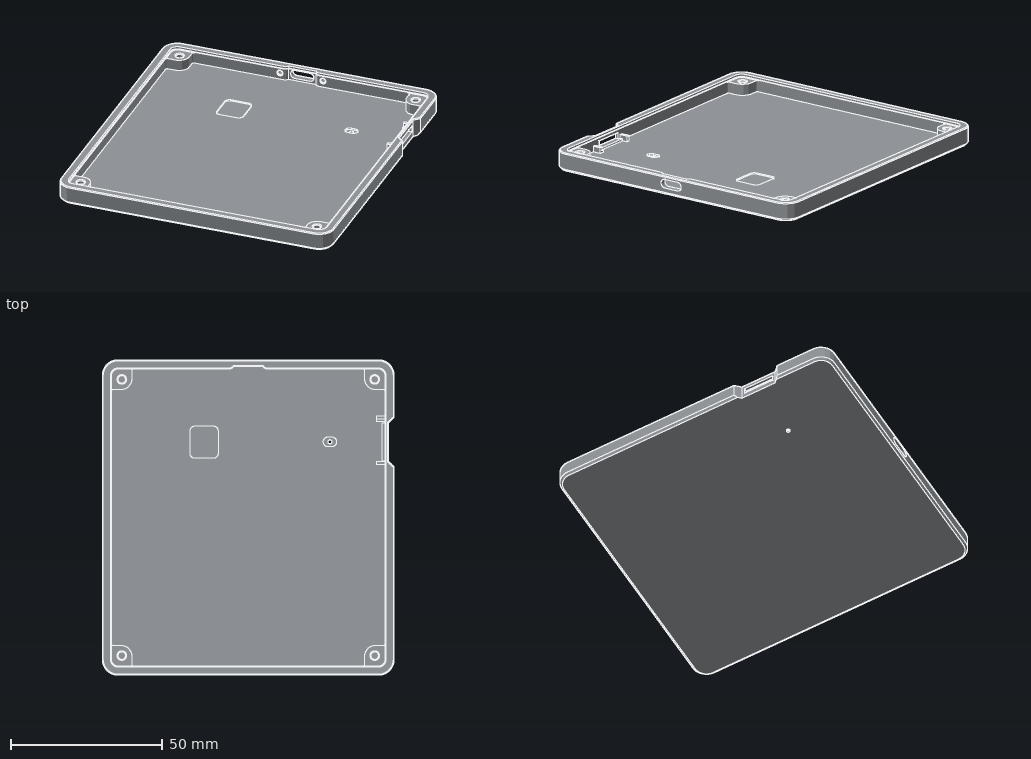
import math

import cadquery as cq

length_x = 96.6
length_y = 104.3
height = 6.5
corner_radius = 5.2
bottom_chamfer = 0.8
top_chamfer = 0.3

wall = 3.0
floor_z = 1.6
rebate_wall = 2.7
rebate_depth = 0.8
ledge_z = height - rebate_depth
cavity_x = length_x - 2 * wall
cavity_y = length_y - 2 * wall
inner_face_x = cavity_x / 2
inner_face_y = cavity_y / 2

boss_inset = 6.5
boss_reach = 3.3
boss_radius = 3.5
boss_blend = 0.6
boss_drop = 1.0
boss_top_z = height - boss_drop
boss_x = length_x / 2 - boss_inset
boss_y = length_y / 2 - boss_inset
screw_hole_diameter = 2.5
screw_mouth_diameter = 3.1
lead_in_depth = 0.3

recess_width = 9.8
recess_depth = 0.8
recess_flare_radius = 1.6
opening_width = 8.2
opening_height = 3.0
opening_z = 3.9
connector_hole_diameter = 1.7
connector_mouth_diameter = 2.1
connector_hole_spacing = 15.2
connector_hole_depth = 2.5

card_y = 24.9
notch_depth = 1.9
notch_inner_length = 12.7
card_opening_length = 10.6
shelf_length = 12.5
card_opening_height = 2.2
shelf_depth = 1.0
shelf_top_z = 2.3
post_depth = 2.8
post_width = 1.0
post_top_z = 3.5
post_center_y = 25.6
post_spacing = 15.0
shoulder_width = 0.8

pocket_x = -14.6
pocket_y = 24.9
pocket_length_x = 9.4
pocket_length_y = 10.6
pocket_radius = 1.7
pocket_depth = 0.4

port_x = 27.0
port_y = 25.0
port_length = 4.5
port_width = 3.1
port_depth = 0.5
port_hole_diameter = 1.3


def rounded_block(size_x, size_y, radius, bottom_z, top_z):
    """Upright block centred on the Z axis with rounded vertical edges."""
    block = cq.Workplane("XY", origin=(0, 0, bottom_z)).rect(size_x, size_y).extrude(top_z - bottom_z)
    return block.edges("|Z").fillet(radius)


def box_between(x0, x1, y0, y1, z0, z1):
    """Box given by its limits along each axis."""
    return cq.Workplane("XY").box(x1 - x0, y1 - y0, z1 - z0, centered=False).translate((x0, y0, z0))


def make_card_notch():
    """Finger notch with 45 degree ends, cut through the full height of the +X wall."""
    outer_x = length_x / 2
    half = notch_inner_length / 2
    return (
        cq.Workplane("XY")
        .polyline(
            [
                (outer_x - notch_depth, card_y - half),
                (outer_x - notch_depth, card_y + half),
                (outer_x, card_y + half + notch_depth),
                (outer_x, card_y - half - notch_depth),
            ]
        )
        .close()
        .extrude(height)
    )


def make_tray():
    """Solid tray blank with the finger notch and with its top and bottom outlines chamfered."""
    tray = rounded_block(length_x, length_y, corner_radius, 0, height)
    tray = tray.faces("<Z").edges().chamfer(bottom_chamfer)
    tray = tray.cut(make_card_notch())
    return tray.faces(">Z").edges().chamfer(top_chamfer)


def make_cavity():
    """Space inside the tray, leaving the four corner bosses standing."""
    cavity = rounded_block(cavity_x, cavity_y, corner_radius - wall, floor_z, height)
    for sx in (-1, 1):
        for sy in (-1, 1):
            size = 2 * boss_inset + boss_reach
            offset = size / 2 - boss_reach
            boss = (
                cq.Workplane("XY", origin=(sx * (boss_x + offset), sy * (boss_y + offset), floor_z))
                .rect(size, size)
                .extrude(boss_top_z - floor_z)
                .edges("|Z")
                .fillet(boss_radius)
            )
            cavity = cavity.cut(boss)
    for sx in (-1, 1):
        for sy in (-1, 1):
            for x, y in ((inner_face_x, boss_y - boss_reach), (boss_x - boss_reach, inner_face_y)):
                corner = (sx * x, sy * y, (floor_z + boss_top_z) / 2)
                cavity = cavity.edges(cq.NearestToPointSelector(corner)).fillet(boss_blend)
    rebate = rounded_block(
        length_x - 2 * rebate_wall, length_y - 2 * rebate_wall, corner_radius - rebate_wall, ledge_z, height
    )
    return cavity.union(rebate)


def countersunk_bore(diameter, mouth_diameter, depth):
    """Blind bore running down from the origin, with a conical lead-in at its mouth."""
    radius = diameter / 2
    mouth_radius = mouth_diameter / 2
    return (
        cq.Workplane("XZ")
        .polyline(
            [
                (0, 0),
                (mouth_radius, 0),
                (radius, -lead_in_depth),
                (radius, -depth),
                (0, -depth),
            ]
        )
        .close()
        .revolve(360, (0, 0, 0), (0, 1, 0))
    )


def make_boss_holes():
    """Blind screw holes from the top of each corner boss down to the cavity floor."""
    bore = countersunk_bore(screw_hole_diameter, screw_mouth_diameter, boss_top_z - floor_z)
    holes = cq.Workplane("XY")
    for x in (-boss_x, boss_x):
        for y in (-boss_y, boss_y):
            holes = holes.union(bore.translate((x, y, boss_top_z)))
    return holes


def flared_recess(width, face_y, bottom_z):
    """Upright recess cut into a +Y wall face, its sides rounding outwards into that face."""
    back_y = face_y + recess_depth
    half = width / 2
    flare_angle = math.acos(1 - recess_depth / recess_flare_radius)
    wide_half = half + recess_flare_radius * math.sin(flare_angle)
    mid_x = wide_half - recess_flare_radius * math.sin(flare_angle / 2)
    mid_y = face_y + recess_flare_radius * (1 - math.cos(flare_angle / 2))
    return (
        cq.Workplane("XY", origin=(0, 0, bottom_z))
        .moveTo(-wide_half, face_y)
        .threePointArc((-mid_x, mid_y), (-half, back_y))
        .lineTo(half, back_y)
        .threePointArc((mid_x, mid_y), (wide_half, face_y))
        .close()
        .extrude(height - bottom_z)
    )


def make_connector_cut():
    """Recess, through opening and two blind screw holes in the +Y wall."""
    recess = flared_recess(recess_width, inner_face_y, floor_z)
    rim = flared_recess(recess_width, length_y / 2 - rebate_wall, ledge_z)
    opening = (
        cq.Workplane("XZ", origin=(0, inner_face_y, opening_z))
        .slot2D(opening_width, opening_height)
        .extrude(-wall)
    )
    cut = recess.union(rim).union(opening)
    bore = countersunk_bore(connector_hole_diameter, connector_mouth_diameter, connector_hole_depth)
    bore = bore.rotate((0, 0, 0), (1, 0, 0), 90)
    for x in (-connector_hole_spacing / 2, connector_hole_spacing / 2):
        cut = cut.union(bore.translate((x, inner_face_y, opening_z)))
    return cut


def make_card_guides():
    """Low shelf along the +X wall with a guide post at each end and a shoulder beside the upper-Y post."""
    half = shelf_length / 2
    guides = box_between(
        inner_face_x - shelf_depth, inner_face_x, card_y - half, card_y + half, floor_z, shelf_top_z
    )
    post_face_x = inner_face_x - post_depth
    for side in (-1, 1):
        y = post_center_y + side * post_spacing / 2
        post = box_between(
            post_face_x, inner_face_x,
            y - post_width / 2, y + post_width / 2,
            floor_z, post_top_z,
        )
        guides = guides.union(post)
    inner_end_y = post_center_y + (post_spacing - post_width) / 2
    shoulder = box_between(
        post_face_x, inner_face_x,
        inner_end_y - shoulder_width, inner_end_y,
        floor_z, shelf_top_z,
    )
    return guides.union(shoulder)


def make_card_opening():
    """Slot through the thinned +X wall, level with the top of the shelf."""
    half = card_opening_length / 2
    return box_between(
        inner_face_x - shelf_depth, length_x / 2,
        card_y - half, card_y + half,
        shelf_top_z, shelf_top_z + card_opening_height,
    )


def make_floor_pocket():
    """Shallow rounded pocket sunk into the cavity floor."""
    pocket = rounded_block(pocket_length_x, pocket_length_y, pocket_radius, floor_z - pocket_depth, floor_z)
    return pocket.translate((pocket_x, pocket_y, 0))


def make_port():
    """Oblong recess in the floor with a small hole through its centre."""
    plane = cq.Workplane("XY", origin=(port_x, port_y, floor_z))
    recess = plane.slot2D(port_length, port_width).extrude(-port_depth)
    return recess.union(plane.circle(port_hole_diameter / 2).extrude(-floor_z))


result = (
    make_tray()
    .cut(make_cavity())
    .cut(make_boss_holes())
    .cut(make_connector_cut())
    .union(make_card_guides())
    .cut(make_card_opening())
    .cut(make_floor_pocket())
    .cut(make_port())
)